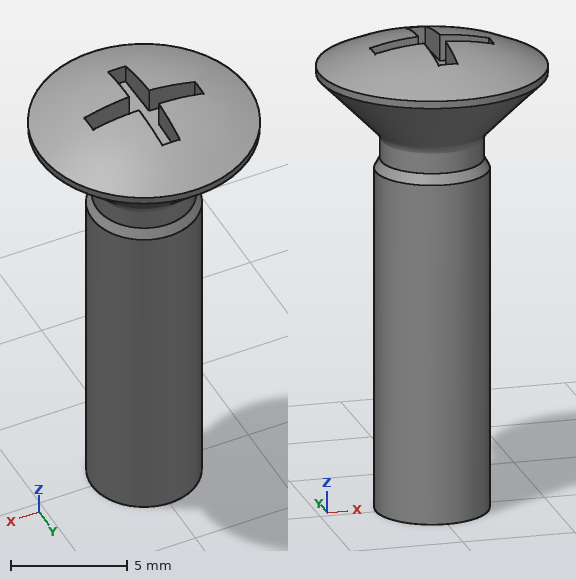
import cadquery as cq
import math

length = 20.0

head_radius = 5.0
rim_height = 0.33
dome_height = 1.2
cone_half_angle = 45.0

shank_radius = 2.5
neck_radius = 2.25
neck_fillet = 0.45
neck_bottom = 15.82
shoulder_height = 0.45

recess_span = 5.3
recess_tip_width = 0.84
recess_center_width = 0.96
recess_floor = length

rim_bottom = length - rim_height
neck_top = rim_bottom - (head_radius - neck_radius) / math.tan(math.radians(cone_half_angle))
shank_top = neck_bottom - shoulder_height
dome_radius = (head_radius**2 + dome_height**2) / (2 * dome_height)


def dome_level(radius):
    """Height of the spherical dome surface at a given distance from the axis."""
    return length + dome_height - dome_radius + math.sqrt(dome_radius**2 - radius**2)


def make_screw_body():
    """Revolve the half section of head, neck and shank, then round the neck corner."""
    mid_radius = head_radius / 2
    body = (
        cq.Workplane("XZ")
        .moveTo(0, 0)
        .lineTo(shank_radius, 0)
        .lineTo(shank_radius, shank_top)
        .lineTo(neck_radius, neck_bottom)
        .lineTo(neck_radius, neck_top)
        .lineTo(head_radius, rim_bottom)
        .lineTo(head_radius, length)
        .threePointArc((mid_radius, dome_level(mid_radius)), (0, length + dome_height))
        .close()
        .revolve(360, (0, 0, 0), (0, 1, 0))
    )
    at_neck_top = cq.selectors.BoxSelector(
        (-head_radius, -head_radius, neck_top - neck_fillet / 2),
        (head_radius, head_radius, neck_top + neck_fillet / 2),
        boundingbox=True,
    )
    return body.edges(at_neck_top).fillet(neck_fillet)


def make_cross_recess():
    """Four arms narrowing slightly from the centre to the tips, with upright walls."""
    tip = recess_span / 2
    half_tip = recess_tip_width / 2
    half_center = recess_center_width / 2
    arm_outline = [
        (0, -half_center),
        (half_center, -half_center),
        (tip, -half_tip),
        (tip, half_tip),
        (half_center, half_center),
        (0, half_center),
    ]
    arm = (
        cq.Workplane("XY", origin=(0, 0, recess_floor))
        .polyline(arm_outline)
        .close()
        .extrude(2 * dome_height)
    )
    cross = arm
    for quarter in range(1, 4):
        cross = cross.union(arm.rotate((0, 0, 0), (0, 0, 1), 90 * quarter))
    return cross


result = make_screw_body().cut(make_cross_recess())